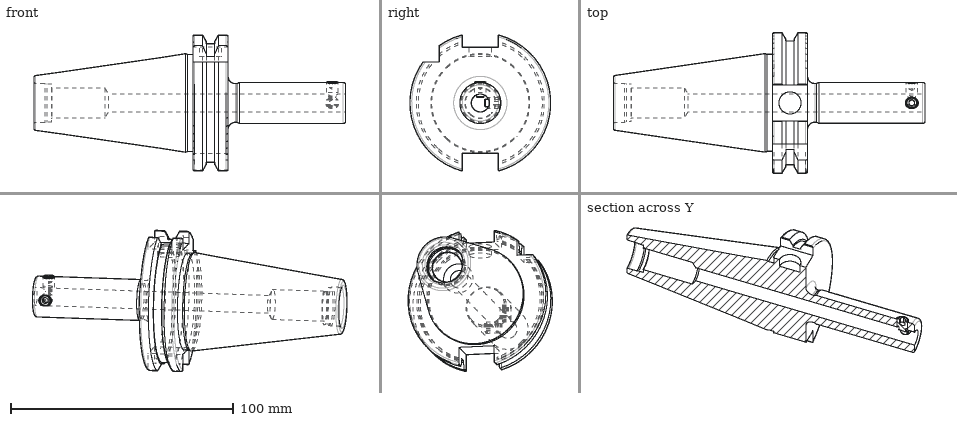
import cadquery as cq
import math

overall_length = 140.4
gauge_x = 68.4
flange_x = 71.6
flange_width = 15.9
flange_end_x = flange_x + flange_width

gauge_diameter = 44.5
taper_ratio = 7 / 24
tip_diameter = gauge_diameter - taper_ratio * gauge_x
tip_round = 1.0
relief_diameter = 43.8
relief_slope = 0.8

flange_diameter = 63.5
flange_round = 0.8
groove_mouth = 7.2
groove_floor_width = 3.8
groove_floor_diameter = 55.9
groove_angle = 60.0

shank_diameter = 18.5
neck_diameter = 17.5
neck_fillet = 3.2
neck_length = 0.8
neck_slope = 1.0
shank_end_round = 1.1

mouth_round = 1.0
counterbore_diameter = 17.5
counterbore_depth = 5.0
pilot_diameter = 17.0
pilot_slope = 0.8
pilot_depth = 8.0
thread_diameter = 13.5
thread_mouth_diameter = 13.9
thread_depth = 32.0
through_diameter = 8.0
drill_point_angle = 118.0

slot_width = 16.1
upper_slot_floor = 25.1
lower_slot_floor = 22.7
slot_edge_break = 0.4
notch_offset = 18.5
chip_hole_diameter = 10.0
chip_hole_depth = 4.2

screw_x = 134.4
screw_diameter = 5.0
screw_length = 7.2
screw_head_diameter = 4.4
point_diameter = 3.5
point_length = 2.1
point_chamfer = 0.3
socket_width = 2.5
socket_depth = 2.8
socket_point_angle = 120.0
countersink_diameter = 5.9
upper_screw_top = 9.7
side_screw_top = 9.1


def round_middle(center_x, center_radius, radius, degrees):
    """Point on a rounding arc of the turned outline, at an angle from the +X direction."""
    angle = math.radians(degrees)
    return (center_x + radius * math.cos(angle), center_radius + radius * math.sin(angle))


def revolve_about_x(profile):
    """Turn a closed outline of (x, radius) points about the X axis."""
    return profile.close().revolve(360, (0, 0, 0), (1, 0, 0))


def turned_blank():
    """Taper, flange and shank as one turned shape."""
    taper_angle = math.atan(taper_ratio / 2)
    taper_degrees = math.degrees(taper_angle)
    tip_round_radius = (
        tip_diameter / 2
        + tip_round * (1 - math.sin(taper_angle)) * math.tan(taper_angle)
        - tip_round * math.cos(taper_angle)
    )

    rim = flange_diameter / 2
    rim_round_radius = rim - flange_round
    front_round_x = flange_x + flange_round
    rear_round_x = flange_end_x - flange_round

    groove_x = flange_x + flange_width / 2
    half_mouth = groove_mouth / 2
    half_floor = groove_floor_width / 2
    groove_floor = groove_floor_diameter / 2
    wall_foot = rim - (half_mouth - half_floor) / math.tan(math.radians(groove_angle / 2))

    neck = neck_diameter / 2
    neck_x = flange_end_x + neck_fillet
    neck_end_x = neck_x + neck_length
    shank = shank_diameter / 2
    end_round_x = overall_length - shank_end_round
    end_round_radius = shank - shank_end_round

    profile = (
        cq.Workplane("XY")
        .moveTo(0, 0)
        .lineTo(0, tip_round_radius)
        .threePointArc(
            round_middle(tip_round, tip_round_radius, tip_round, 135 + taper_degrees / 2),
            round_middle(tip_round, tip_round_radius, tip_round, 90 + taper_degrees),
        )
        .lineTo(gauge_x, gauge_diameter / 2)
        .lineTo(gauge_x + relief_slope, relief_diameter / 2)
        .lineTo(flange_x, relief_diameter / 2)
        .lineTo(flange_x, rim_round_radius)
        .threePointArc(
            round_middle(front_round_x, rim_round_radius, flange_round, 135),
            (front_round_x, rim),
        )
        .lineTo(groove_x - half_mouth, rim)
        .lineTo(groove_x - half_floor, wall_foot)
        .lineTo(groove_x - half_floor, groove_floor)
        .lineTo(groove_x + half_floor, groove_floor)
        .lineTo(groove_x + half_floor, wall_foot)
        .lineTo(groove_x + half_mouth, rim)
        .lineTo(rear_round_x, rim)
        .threePointArc(
            round_middle(rear_round_x, rim_round_radius, flange_round, 45),
            (flange_end_x, rim_round_radius),
        )
        .lineTo(flange_end_x, neck + neck_fillet)
        .threePointArc(
            round_middle(neck_x, neck + neck_fillet, neck_fillet, 225),
            (neck_x, neck),
        )
        .lineTo(neck_end_x, neck)
        .lineTo(neck_end_x + neck_slope, shank)
        .lineTo(end_round_x, shank)
        .threePointArc(
            round_middle(end_round_x, end_round_radius, shank_end_round, 45),
            (overall_length, end_round_radius),
        )
        .lineTo(overall_length, 0)
    )
    return revolve_about_x(profile)


def stepped_bore():
    """Rounded counterbore, pilot, threaded bore with a drill point, and bore through the shank."""
    counterbore = counterbore_diameter / 2
    mouth = counterbore + mouth_round
    pilot = pilot_diameter / 2
    thread = thread_diameter / 2
    thread_mouth = thread_mouth_diameter / 2
    through = through_diameter / 2
    drill_point_length = (thread - through) / math.tan(math.radians(drill_point_angle / 2))
    profile = (
        cq.Workplane("XY")
        .moveTo(0, 0)
        .lineTo(0, mouth)
        .threePointArc(
            round_middle(mouth_round, mouth, mouth_round, 225),
            (mouth_round, counterbore),
        )
        .lineTo(counterbore_depth, counterbore)
        .lineTo(counterbore_depth + pilot_slope, pilot)
        .lineTo(pilot_depth, pilot)
        .lineTo(pilot_depth, thread_mouth)
        .lineTo(pilot_depth + thread_mouth - thread, thread)
        .lineTo(thread_depth, thread)
        .lineTo(thread_depth + drill_point_length, through)
        .lineTo(overall_length, through)
        .lineTo(overall_length, 0)
    )
    return revolve_about_x(profile)


def drive_slot(floor):
    """Slot across the flange on the +Z side, its edges broken where they meet the rim."""
    rim = flange_diameter / 2
    half = slot_width / 2
    edge_z = math.sqrt(rim**2 - half**2)
    flare_z = edge_z - slot_edge_break
    flare = rim - flare_z
    return (
        cq.Workplane("YZ", origin=(flange_x, 0, 0))
        .moveTo(-half, floor)
        .lineTo(half, floor)
        .lineTo(half, flare_z)
        .lineTo(half + flare, rim)
        .lineTo(-half - flare, rim)
        .lineTo(-half, flare_z)
        .close()
        .extrude(flange_width)
    )


def orientation_notch():
    """Square notch through the flange in its -Y, +Z quarter."""
    notch_size = flange_diameter / 2 - notch_offset
    return (
        cq.Workplane("XY")
        .box(flange_width, notch_size, notch_size, centered=False)
        .translate((flange_x, -flange_diameter / 2, notch_offset))
    )


def chip_hole():
    """Blind hole in the floor of the upper drive slot."""
    return (
        cq.Workplane("XY", origin=(flange_x + flange_width / 2, 0, upper_slot_floor))
        .circle(chip_hole_diameter / 2)
        .extrude(-chip_hole_depth)
    )


def place_on_shank(body, turn):
    """Move a body built about Z to the screw position, turned about the shank axis."""
    return body.rotate((0, 0, 0), (1, 0, 0), turn).translate((screw_x, 0, 0))


def screw_hole():
    """Hole for a set screw from the bore outwards, countersunk at the shank surface."""
    surface = shank_diameter / 2
    sink_depth = (countersink_diameter - screw_diameter) / 2
    hole = cq.Workplane("XY").circle(screw_diameter / 2).extrude(shank_diameter)
    countersink = (
        cq.Workplane("XY", origin=(0, 0, surface - sink_depth))
        .circle(screw_diameter / 2)
        .workplane(offset=sink_depth)
        .circle(countersink_diameter / 2)
        .loft()
    )
    return hole.union(countersink)


def set_screw(top):
    """Headless dog point screw with a hexagon socket, built about Z with its outer face at `top`."""
    head_chamfer = (screw_diameter - screw_head_diameter) / 2
    socket_cone_height = socket_width / 2 / math.tan(math.radians(socket_point_angle / 2))
    body = (
        cq.Workplane("XY", origin=(0, 0, top))
        .circle(screw_diameter / 2)
        .extrude(point_length - screw_length)
        .faces(">Z")
        .chamfer(head_chamfer)
    )
    point = (
        cq.Workplane("XY", origin=(0, 0, top - screw_length))
        .circle(point_diameter / 2)
        .extrude(point_length)
        .faces("<Z")
        .chamfer(point_chamfer)
    )
    socket = (
        cq.Workplane("XY", origin=(0, 0, top))
        .polygon(6, socket_width, circumscribed=True)
        .extrude(-socket_depth)
    )
    socket_cone = cq.Workplane(
        cq.Solid.makeCone(
            socket_width / 2, 0, socket_cone_height, cq.Vector(0, 0, top - socket_depth), cq.Vector(0, 0, -1)
        )
    )
    return body.union(point).cut(socket).cut(socket_cone)


screw_places = [(0, upper_screw_top), (-90, side_screw_top)]

holder = turned_blank().cut(stepped_bore())
holder = holder.cut(drive_slot(upper_slot_floor))
holder = holder.cut(drive_slot(lower_slot_floor).rotate((0, 0, 0), (1, 0, 0), 180))
holder = holder.cut(orientation_notch())
holder = holder.cut(chip_hole())
for turn, _ in screw_places:
    holder = holder.cut(place_on_shank(screw_hole(), turn))

screws = [place_on_shank(set_screw(top), turn) for turn, top in screw_places]

result = cq.Compound.makeCompound([holder.val(), *[screw.val() for screw in screws]])